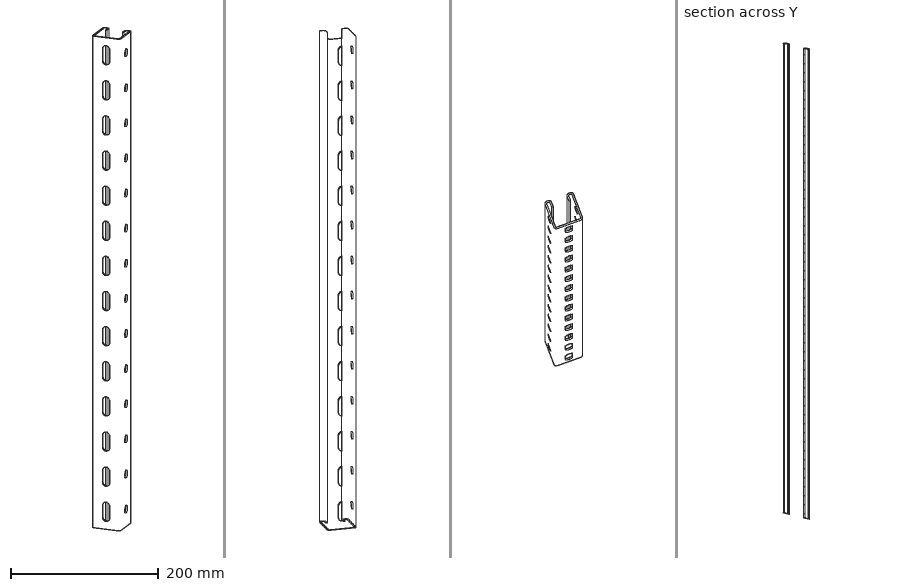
import cadquery as cq

length = 700.0
width = 41.0
depth = 41.0
sheet = 2.45
bend_radius = 3.5
opening = 22.5
lip_depth = 10.5

hole_count = 14
pitch = length / hole_count
hole_diameter = 10.5
hole_offset = 1.0
slot_width = 10.5
slot_length = 27.0


def bar(x_min, x_max, y_min, y_max, rounded_edges, radius):
    """Full-length rectangular bar with the selected long edges rounded."""
    block = cq.Workplane("XY").box(x_max - x_min, y_max - y_min, length)
    block = block.edges("|Z").edges(rounded_edges).fillet(radius)
    return block.translate(((x_min + x_max) / 2, (y_min + y_max) / 2, 0))


def folded_channel():
    """Web, two flanges, and lips folded inwards and back down."""
    inner_radius = bend_radius - sheet
    half_width = width / 2
    half_depth = depth / 2
    lip_inner_x = opening / 2
    lip_end_y = half_depth - lip_depth

    trough = bar(-half_width, half_width, -half_depth, lip_end_y, "<Y", bend_radius)
    hollow = bar(
        sheet - half_width, half_width - sheet, sheet - half_depth, lip_end_y, "<Y", inner_radius
    )
    channel = trough.cut(hollow)

    hook = bar(lip_inner_x, half_width, lip_end_y, half_depth, ">Y", bend_radius)
    gap = bar(
        lip_inner_x + sheet, half_width - sheet, lip_end_y, half_depth - sheet, ">Y", inner_radius
    )
    hook = hook.cut(gap)
    return channel.union(hook).union(hook.mirror("YZ")).clean()


def hole_points():
    """Pitch points along the channel, half a pitch in from each end."""
    return [(0, (index + 0.5) * pitch - length / 2) for index in range(hole_count)]


def web_slots():
    """Cutters for the lengthwise slots in the web."""
    slots = cq.Workplane("XZ", origin=(0, -depth / 2, 0)).pushPoints(hole_points())
    return slots.slot2D(slot_length, slot_width, angle=90).extrude(-sheet)


def flange_holes():
    """Cutters for the round holes that pass through both flanges."""
    holes = cq.Workplane("YZ", origin=(0, hole_offset, 0)).pushPoints(hole_points())
    return holes.circle(hole_diameter / 2).extrude(width / 2, both=True)


result = folded_channel().cut(web_slots()).cut(flange_holes())